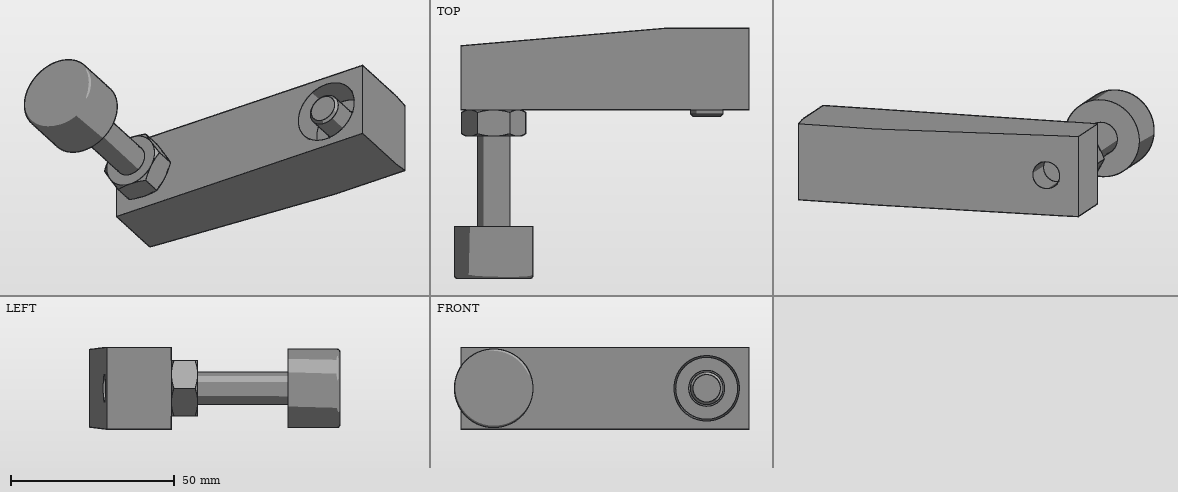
import cadquery as cq
import math

overall_length = 90
foot_diameter = 24.0
screw_inset = 10.0
arm_length = overall_length - (foot_diameter / 2 - screw_inset)
arm_height = 25.0
arm_depth = 25.0
arm_left = -arm_length / 2
arm_right = arm_length / 2
end_depth = 19.6
flat_length = 25.0
draft_start = 20.0
draft_inset = 0.6

screw_x = arm_left + screw_inset
stud_diameter = 10.0
stud_insertion = 10.0
stud_free_length = 35.55
core_diameter = 8.4
foot_height = 15.9
foot_rounding = 1.0

nut_thickness = 8.0
nut_across_flats = 17.0
nut_across_corners = nut_across_flats / math.cos(math.pi / 6)
nut_chamfer_angle = math.radians(30)
nut_face_diameter = nut_across_flats

pin_inset = 13.0
pin_x = arm_right - pin_inset
pin_diameter = 10.0
pin_protrusion = 2.0
pin_chamfer = 0.8
pin_insertion = 5.0
pin_hole_diameter = 11.0
pin_hole_depth = 2.0
recess_mouth_diameter = 20.0
recess_floor_diameter = 18.9
recess_depth = 10.0


def cylinder(x, diameter, y_start, y_end):
    """Round bar along +Y between two Y positions."""
    plane = cq.Plane(origin=(x, y_start, 0), xDir=(1, 0, 0), normal=(0, 1, 0))
    return cq.Workplane(plane).circle(diameter / 2).extrude(y_end - y_start)


def arm_blank():
    """Arm with a sloping back, its rear edges drafted towards the back face."""
    plan = (
        cq.Workplane("XY", origin=(0, 0, -arm_height / 2))
        .moveTo(arm_left, 0)
        .lineTo(arm_right, 0)
        .lineTo(arm_right, arm_depth)
        .lineTo(arm_right - flat_length, arm_depth)
        .lineTo(arm_left, end_depth)
        .close()
        .extrude(arm_height)
    )
    half_height = arm_height / 2
    back_half_height = half_height - draft_inset
    side_profile = (
        cq.Workplane("YZ", origin=(arm_left, 0, 0))
        .polyline([
            (0, -half_height),
            (draft_start, -half_height),
            (arm_depth, -back_half_height),
            (arm_depth, back_half_height),
            (draft_start, half_height),
            (0, half_height),
        ])
        .close()
        .extrude(arm_length)
    )
    return plan.intersect(side_profile)


def pin_recess():
    """Tapered recess with a shallow clearance ring and a pin seat in its floor."""
    taper = cq.Solid.makeCone(
        recess_mouth_diameter / 2,
        recess_floor_diameter / 2,
        recess_depth,
        pnt=cq.Vector(pin_x, 0, 0),
        dir=cq.Vector(0, 1, 0),
    )
    ring = cylinder(pin_x, pin_hole_diameter, 0, recess_depth + pin_hole_depth)
    seat = cylinder(pin_x, pin_diameter, 0, recess_depth + pin_insertion)
    return seat.union(ring).union(cq.Workplane(taper))


def make_arm():
    stud_seat = cylinder(screw_x, stud_diameter, 0, stud_insertion)
    core_hole = cylinder(screw_x, core_diameter, 0, arm_depth)
    return arm_blank().cut(stud_seat).cut(core_hole).cut(pin_recess())


def make_screw():
    stud = cylinder(screw_x, stud_diameter, -stud_free_length, stud_insertion)
    foot_end = -stud_free_length - foot_height
    foot = cylinder(screw_x, foot_diameter, foot_end, -stud_free_length)
    return foot.faces("<Y").fillet(foot_rounding).union(stud)


def make_nut():
    """Hexagon trimmed at both ends by a cone, bored to fit the stud."""
    hexagon = (
        cq.Workplane("XZ", origin=(screw_x, 0, 0))
        .polygon(6, nut_across_corners)
        .extrude(nut_thickness)
    )
    corner_radius = nut_across_corners / 2
    face_radius = nut_face_diameter / 2
    chamfer_length = (corner_radius - face_radius) * math.tan(nut_chamfer_angle)
    envelope = (
        cylinder(screw_x, nut_across_corners, -nut_thickness, 0)
        .faces("<Y or >Y")
        .chamfer(chamfer_length, corner_radius - face_radius)
    )
    bore = cylinder(screw_x, stud_diameter, -nut_thickness, 0)
    return hexagon.intersect(envelope).cut(bore)


def make_pin():
    pin = cylinder(pin_x, pin_diameter, -pin_protrusion, recess_depth + pin_insertion)
    return pin.faces("<Y").chamfer(pin_chamfer)


arm = make_arm()
screw = make_screw()
nut = make_nut()
pin = make_pin()

result = cq.Compound.makeCompound([arm.val(), screw.val(), nut.val(), pin.val()])